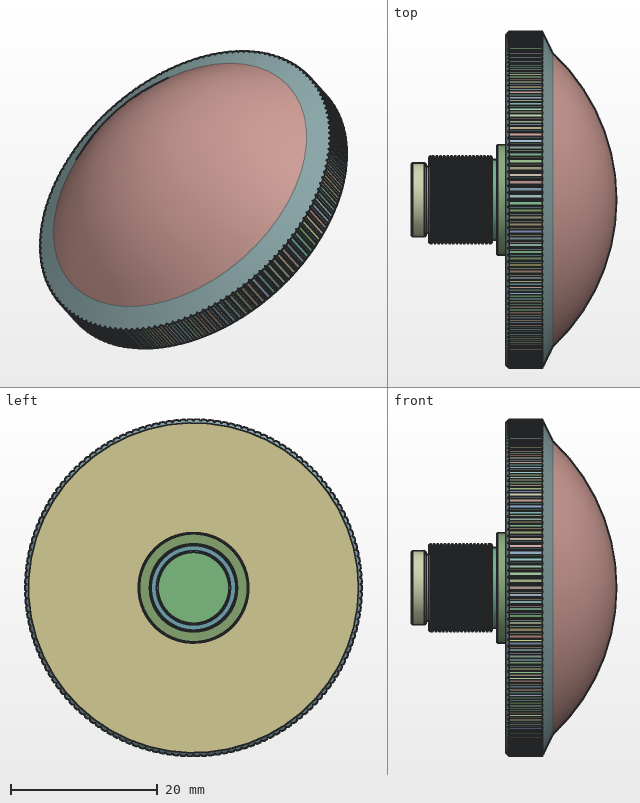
import cadquery as cq
import math


tip_groove_x = 2.02
thread_start_x = 2.4
thread_end_x = 11.05
collar_x = 11.65
rim_x = 12.9
rim_end_x = 17.85
dome_x = 19.3
apex_x = 28.0

thread_diameter = 12.0
tip_radius = 5.05
tip_groove_radius = 4.55
thread_radius = thread_diameter / 2
relief_radius = 5.5
collar_radius = 7.55
rim_radius = 23.0
dome_radius = 20.0

small_chamfer = 0.25
collar_chamfer = 0.2
rim_chamfer = 0.5

thread_pitch = thread_diameter / 24
thread_depth = 0.3
thread_flank_angle = math.radians(30)
crest_flat = thread_pitch / 8
thread_start_angle = 100

tooth_count = 150
knurl_depth = 0.25


def revolve_about_axis(outline):
    """Full turn of a closed outline in the XY plane about the X axis."""
    return outline.close().revolve(360, (0, 0, 0), (1, 0, 0))


def make_stem():
    """Tip, necks, thread core with its bevelled ends, and collar, up to the back of the rim."""
    return revolve_about_axis(
        cq.Workplane("XY")
        .moveTo(0, 0)
        .lineTo(0, small_chamfer - tip_radius)
        .lineTo(small_chamfer, -tip_radius)
        .lineTo(tip_groove_x - small_chamfer, -tip_radius)
        .lineTo(tip_groove_x, small_chamfer - tip_radius)
        .lineTo(tip_groove_x, -tip_groove_radius)
        .lineTo(thread_start_x, -tip_groove_radius)
        .lineTo(thread_start_x, small_chamfer - thread_radius)
        .lineTo(thread_start_x + small_chamfer, -thread_radius)
        .lineTo(thread_start_x + small_chamfer, -relief_radius)
        .lineTo(thread_end_x - small_chamfer, -relief_radius)
        .lineTo(thread_end_x - small_chamfer, -thread_radius)
        .lineTo(thread_end_x, small_chamfer - thread_radius)
        .lineTo(thread_end_x, -relief_radius)
        .lineTo(collar_x, -relief_radius)
        .lineTo(collar_x, collar_chamfer - collar_radius)
        .lineTo(collar_x + collar_chamfer, -collar_radius)
        .lineTo(rim_x, -collar_radius)
        .lineTo(rim_x, 0)
    )


def make_thread():
    """Threaded sleeve: the thread's cross-section twisted along the axis, one turn per pitch."""
    root_radius = thread_radius - thread_depth
    flank_radius = thread_radius - thread_depth / 2
    flank_width = thread_depth * math.tan(thread_flank_angle)
    crest_edge = math.pi * crest_flat / thread_pitch
    root_edge = crest_edge + 2 * math.pi * flank_width / thread_pitch
    flank_middle = (crest_edge + root_edge) / 2
    length = thread_end_x - thread_start_x - 2 * small_chamfer

    def at(radius, angle):
        return (radius * math.cos(angle), radius * math.sin(angle))

    return (
        cq.Workplane("YZ", origin=(thread_start_x + small_chamfer, 0, 0))
        .transformed(rotate=(0, 0, thread_start_angle))
        .moveTo(*at(thread_radius, -crest_edge))
        .threePointArc(at(thread_radius, 0), at(thread_radius, crest_edge))
        .threePointArc(at(flank_radius, flank_middle), at(root_radius, root_edge))
        .threePointArc(at(root_radius, math.pi), at(root_radius, -root_edge))
        .threePointArc(at(flank_radius, -flank_middle), at(thread_radius, -crest_edge))
        .close()
        .twistExtrude(length, 360 * length / thread_pitch)
    )


def make_knurl_envelope():
    """Toothed prism around the rim, with one tooth centred on the -Y side."""
    tooth_angle = 2 * math.pi / tooth_count
    tip_half_angle = tooth_angle / 2 - knurl_depth / rim_radius

    def at(radius, angle):
        return (-radius * math.cos(angle), radius * math.sin(angle))

    outline = cq.Workplane("YZ", origin=(rim_x, 0, 0)).moveTo(*at(rim_radius, -tip_half_angle))
    for tooth in range(tooth_count):
        centre = tooth * tooth_angle
        outline = (
            outline.threePointArc(at(rim_radius, centre), at(rim_radius, centre + tip_half_angle))
            .lineTo(*at(rim_radius - knurl_depth, centre + tooth_angle / 2))
        )
        if tooth < tooth_count - 1:
            outline = outline.lineTo(*at(rim_radius, centre + tooth_angle - tip_half_angle))
    return outline.close().extrude(apex_x - rim_x)


def make_head():
    """Knurled rim disc with a cone leading up to the spherical dome."""
    dome_height = apex_x - dome_x
    sphere_radius = (dome_height**2 + dome_radius**2) / (2 * dome_height)
    mid_angle = math.asin(dome_radius / sphere_radius) / 2
    dome_middle = (
        apex_x - sphere_radius * (1 - math.cos(mid_angle)),
        -sphere_radius * math.sin(mid_angle),
    )
    smooth_head = revolve_about_axis(
        cq.Workplane("XY")
        .moveTo(rim_x, 0)
        .lineTo(rim_x, rim_chamfer - rim_radius)
        .lineTo(rim_x + rim_chamfer, -rim_radius)
        .lineTo(rim_end_x, -rim_radius)
        .lineTo(dome_x, -dome_radius)
        .threePointArc(dome_middle, (apex_x, 0))
    )
    return smooth_head.intersect(make_knurl_envelope())


result = make_head().union(make_stem().union(make_thread()))